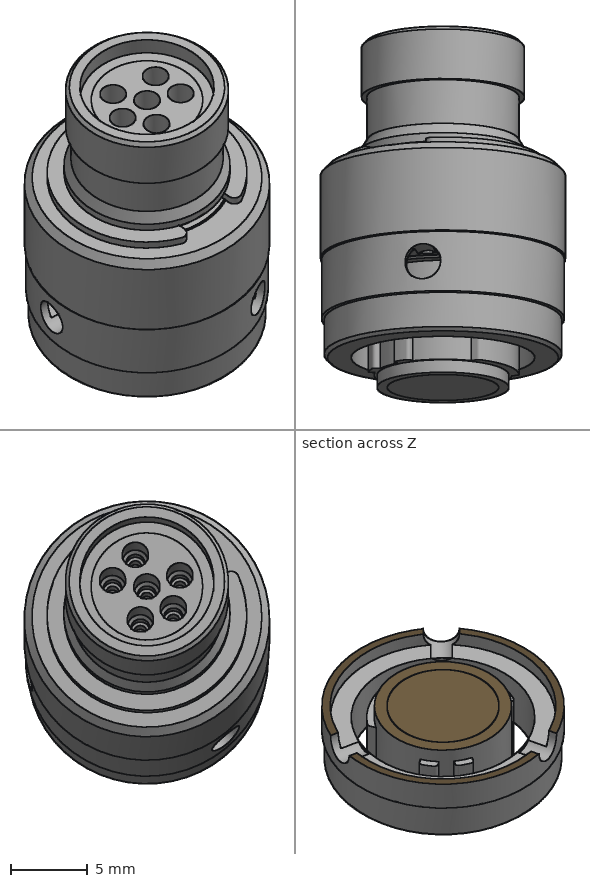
import cadquery as cq
import math

total_height = 23.0
shell_nose_top = 0.83
ring_bottom = 2.0
ring_band_bottom = 4.6
cavity_floor = 5.65
cavity_top = 7.6
ring_band_top = 8.65
ring_top = 14.67
clip_top = 15.23
collar_shoulder = 15.78
neck_bottom = 16.51
rear_rim_bottom = 19.44
insert_top = 21.8

nose_radius = 4.3
spigot_radius = 4.48
key_radius = 4.97
collar_radius = 5.416
neck_radius = 4.97
rear_rim_radius = 5.31
rear_recess_radius = 4.37
insert_radius = 3.63
rear_rim_chamfer = 0.25
flange_chamfer = 0.14

master_key_angle = 90.0
master_key_width = 5.05
minor_key_angles = [189.6, 217.9, 318.2, 357.5]
minor_key_width = 1.25
key_corner_radius = 0.23

ring_radius = 7.992
ring_band_radius = 7.91
ring_foot_radius = 7.75
ring_top_chamfer = 0.5
ring_foot_chamfer = 0.23
ring_step_bevel = 0.07
ring_bore_radius = 5.55
ring_mouth_radius = 5.98
cavity_radius = 7.34

window_radius = 1.17
window_height = 6.6
window_count = 3
first_window_angle = 21.7

clip_radius = 6.5
clip_gap = 4.16
clip_corner_radius = 0.5

contact_circle_radius = 2.28
contact_angles = [60, 120, 210, 270, 330]
contact_mouth_radius = 0.85
contact_throat_radius = 0.62
contact_bore_radius = 0.402
contact_tip_radius = 0.23
contact_mouth_depth = 1.85
contact_throat_depth = 0.92
contact_bore_depth = 0.92
contact_seat_slope = math.tan(math.radians(15))


def turned(profile):
    """Revolve a closed (radius, height) outline about the Z axis."""
    return cq.Workplane("XZ").polyline(profile).close().revolve(360, (0, 0), (0, 1))


def make_key(angle, width):
    """Key with rounded tip edges, running along the spigot at the given angle."""
    length = cavity_floor - shell_nose_top
    root_radius = (insert_radius + nose_radius) / 2
    blank = cq.Workplane("XY").circle(key_radius).circle(root_radius).extrude(length)
    bar = cq.Workplane("XY").center(key_radius, 0).rect(2 * key_radius, width).extrude(length)
    key = blank.intersect(bar)
    mid_radius = (root_radius + key_radius) / 2
    tip_start = math.sqrt(mid_radius ** 2 - (width / 2) ** 2)
    tip_edges = cq.selectors.BoxSelector((tip_start, -width, 0), (2 * key_radius, width, length))
    key = key.edges("|Z").edges(tip_edges).fillet(key_corner_radius)
    return key.rotate((0, 0, 0), (0, 0, 1), angle).translate((0, 0, shell_nose_top))


def make_shell():
    """Stepped tube around the insert, with a clip groove and polarising keys."""
    shell = turned([
        (insert_radius, 0),
        (nose_radius, 0),
        (nose_radius, shell_nose_top),
        (spigot_radius, shell_nose_top),
        (spigot_radius, cavity_top - flange_chamfer),
        (collar_radius - flange_chamfer, cavity_top - flange_chamfer),
        (collar_radius, cavity_top),
        (collar_radius, ring_top),
        (neck_radius, ring_top),
        (neck_radius, clip_top),
        (collar_radius, clip_top),
        (collar_radius, collar_shoulder),
        (neck_radius, neck_bottom),
        (neck_radius, rear_rim_bottom),
        (rear_rim_radius, rear_rim_bottom),
        (rear_rim_radius, total_height - rear_rim_chamfer),
        (rear_rim_radius - rear_rim_chamfer, total_height),
        (rear_recess_radius, total_height),
        (rear_recess_radius, insert_top),
        (insert_radius, insert_top),
    ])
    shell = shell.union(make_key(master_key_angle, master_key_width))
    for angle in minor_key_angles:
        shell = shell.union(make_key(angle, minor_key_width))
    return shell


def make_coupling_ring():
    """Ring around the shell, hollow inside, with round bayonet windows."""
    ring = turned([
        (ring_mouth_radius, ring_bottom),
        (ring_foot_radius - ring_foot_chamfer, ring_bottom),
        (ring_foot_radius, ring_bottom + ring_foot_chamfer),
        (ring_foot_radius, ring_band_bottom - ring_step_bevel),
        (ring_band_radius, ring_band_bottom),
        (ring_band_radius, ring_band_top - ring_step_bevel),
        (ring_radius, ring_band_top),
        (ring_radius, ring_top - ring_top_chamfer),
        (ring_radius - ring_top_chamfer, ring_top),
        (ring_bore_radius, ring_top),
        (ring_bore_radius, cavity_top),
        (cavity_radius, cavity_top),
        (cavity_radius, cavity_floor),
        (ring_mouth_radius, cavity_floor),
    ])
    for index in range(window_count):
        angle = first_window_angle + index * 360 / window_count
        window = cq.Workplane("YZ", origin=(ring_mouth_radius, 0, window_height))
        window = window.circle(window_radius).extrude(ring_radius - ring_mouth_radius)
        ring = ring.cut(window.rotate((0, 0, 0), (0, 0, 1), angle))
    return ring


def make_retaining_clip():
    """C-shaped clip in the shell groove, with its gap on the +X side."""
    thickness = clip_top - ring_top
    base = cq.Workplane("XY", origin=(0, 0, ring_top))
    clip = base.circle(clip_radius).circle(neck_radius).extrude(thickness)
    gap = base.center(clip_radius / 2, 0).rect(clip_radius, clip_gap).extrude(thickness)
    mid_radius = (neck_radius + clip_radius) / 2
    corner_start = math.sqrt(mid_radius ** 2 - (clip_gap / 2) ** 2)
    corners = cq.selectors.BoxSelector(
        (corner_start, -clip_gap, ring_top), (clip_radius, clip_gap, clip_top)
    )
    return clip.cut(gap).edges("|Z").edges(corners).fillet(clip_corner_radius)


def make_contact_cavity():
    """Stepped blind bore whose mouth is at the top face of the insert."""
    throat_step = contact_mouth_radius - contact_throat_radius
    seat_drop = (contact_throat_radius - contact_bore_radius) * contact_seat_slope
    tip_step = contact_bore_radius - contact_tip_radius
    mouth_bottom = insert_top - contact_mouth_depth
    throat_bottom = mouth_bottom - contact_throat_depth
    bore_top = throat_bottom - seat_drop
    bore_bottom = bore_top - contact_bore_depth
    return turned([
        (0, insert_top),
        (contact_mouth_radius, insert_top),
        (contact_mouth_radius, mouth_bottom),
        (contact_throat_radius, mouth_bottom - throat_step),
        (contact_throat_radius, throat_bottom),
        (contact_bore_radius, bore_top),
        (contact_bore_radius, bore_bottom),
        (contact_tip_radius, bore_bottom - tip_step),
        (0, bore_bottom - tip_step),
    ])


def make_insert():
    """Core of the shell, with one central contact cavity and a circle of others."""
    insert = cq.Workplane("XY").circle(insert_radius).extrude(insert_top)
    cavity = make_contact_cavity()
    insert = insert.cut(cavity)
    outer_cavity = cavity.translate((contact_circle_radius, 0, 0))
    for angle in contact_angles:
        insert = insert.cut(outer_cavity.rotate((0, 0, 0), (0, 0, 1), angle))
    return insert


shell = make_shell()
coupling_ring = make_coupling_ring()
retaining_clip = make_retaining_clip()
insert = make_insert()

result = cq.Compound.makeCompound([
    shell.val(),
    coupling_ring.val(),
    retaining_clip.val(),
    insert.val(),
])